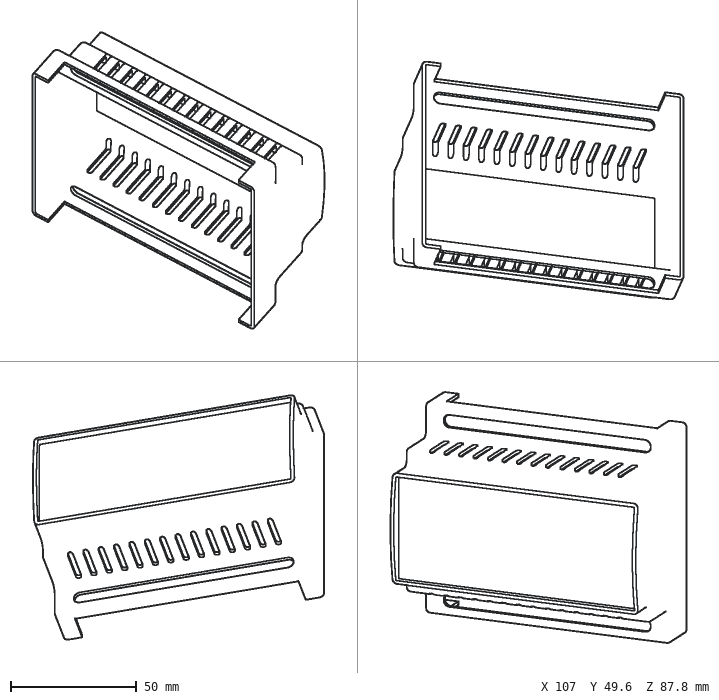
import cadquery as cq

WIDTH = 107.0
DEPTH = 49.6
WALL = 1.5
EDGE_RADIUS = 2.0

FLANGE_HALF_HEIGHT = 43.9
FLANGE_DEPTH = 16.4
SHOULDER_HALF_HEIGHT = 30.0
SHOULDER_DEPTH = 35.3
COVER_HALF_HEIGHT = 23.0
COVER_EDGE_DEPTH = 47.3

PANEL_DEPTH = 43.2

FOOT_WIDTH = 7.6
NOTCH_DEPTH = 11.6

FLANGE_SLOT_LENGTH = 90.3
FLANGE_SLOT_HEIGHT = 5.2
FLANGE_SLOT_Z = 37.2

VENT_COUNT = 14
VENT_PITCH = 6.3
VENT_FIRST_X = -40.0
VENT_WIDTH = 2.2
VENT_START_Y = 19.7
VENT_END_Y = 34.9


def stepped_block():
    """Solid block stepped symmetrically in Z, with a bowed back and rounded outside edges."""
    upper = [
        (0, FLANGE_HALF_HEIGHT),
        (FLANGE_DEPTH, FLANGE_HALF_HEIGHT),
        (FLANGE_DEPTH, SHOULDER_HALF_HEIGHT),
        (SHOULDER_DEPTH, SHOULDER_HALF_HEIGHT),
        (SHOULDER_DEPTH, COVER_HALF_HEIGHT),
        (COVER_EDGE_DEPTH, COVER_HALF_HEIGHT),
    ]
    lower = [(y, -z) for y, z in reversed(upper)]
    block = (
        cq.Workplane("YZ")
        .polyline(upper)
        .threePointArc((DEPTH, 0), lower[0])
        .polyline(lower, includeCurrent=False)
        .close()
        .extrude(WIDTH / 2, both=True)
    )

    margin = EDGE_RADIUS / 2
    step_zone = cq.selectors.BoxSelector(
        (-WIDTH, margin, -WIDTH), (WIDTH, COVER_EDGE_DEPTH - margin, WIDTH)
    )
    block = block.edges("|X").edges(step_zone).fillet(EDGE_RADIUS)

    return block.faces("<X or >X").edges(step_zone).fillet(EDGE_RADIUS)


def housing_shell():
    """Thin walled stepped tube, open at the mouth and at the bowed back."""
    return stepped_block().faces("<Y or >Y").shell(-WALL)


def recessed_panel():
    """Flat panel closing the tube, set in from the bowed back; its rim is buried in the walls."""
    width = WIDTH - WALL
    height = 2 * COVER_HALF_HEIGHT - WALL
    panel = cq.Workplane("XY").box(width, WALL, height, centered=(True, False, True))
    return panel.translate((0, PANEL_DEPTH, 0))


def vent_cutter():
    """Vertical slots that pass through the upper and lower shoulder walls."""
    length = VENT_END_Y - VENT_START_Y
    centre_y = (VENT_START_Y + VENT_END_Y) / 2
    centres = [(VENT_FIRST_X + i * VENT_PITCH, centre_y) for i in range(VENT_COUNT)]
    return (
        cq.Workplane("XY")
        .pushPoints(centres)
        .slot2D(length, VENT_WIDTH, 90)
        .extrude(FLANGE_HALF_HEIGHT, both=True)
    )


def flange_slot_cutter():
    """Long slots through the flange face, above and below the shoulder."""
    return (
        cq.Workplane("XZ")
        .pushPoints([(0, FLANGE_SLOT_Z), (0, -FLANGE_SLOT_Z)])
        .slot2D(FLANGE_SLOT_LENGTH, FLANGE_SLOT_HEIGHT)
        .extrude(-DEPTH)
    )


def notch_cutter():
    """Block removing the middle of both long flange walls at the mouth."""
    opening = WIDTH - 2 * FOOT_WIDTH
    height = 2 * FLANGE_HALF_HEIGHT
    return cq.Workplane("XY").box(opening, 2 * NOTCH_DEPTH, height)


result = housing_shell().union(recessed_panel())
result = result.cut(vent_cutter()).cut(flange_slot_cutter()).cut(notch_cutter())